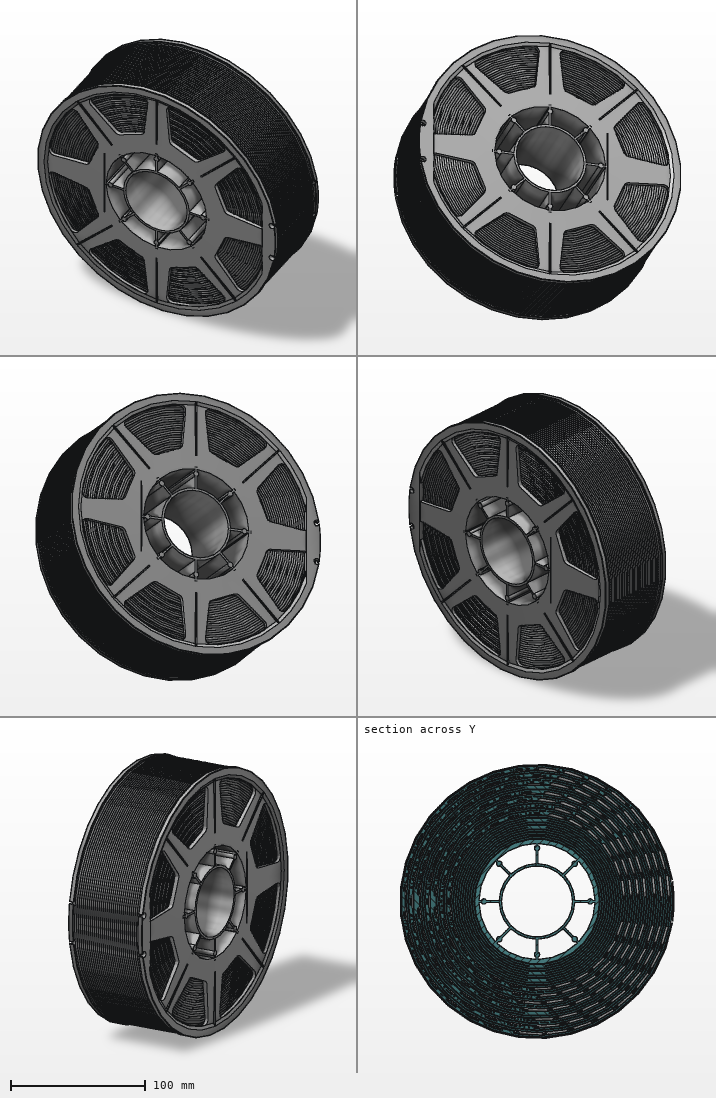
import cadquery as cq
import math

FLANGE_DIAMETER = 203.2
SPOOL_WIDTH = 64.5
FLANGE_THICKNESS = 3.9
RIM_EDGE_RADIUS = 0.5
HUB_DIAMETER = 92.7
HUB_BORE_RADIUS = 42.9
ARM_COUNT = 8
ARM_ANGLE = 360 / ARM_COUNT

FLANGE_RADIUS = FLANGE_DIAMETER / 2
HALF_WIDTH = SPOOL_WIDTH / 2
FLANGE_INNER_Y = HALF_WIDTH - FLANGE_THICKNESS

DISH_START_RADIUS = 44.5
DISH_FLOOR_RADIUS = 93.5
DISH_LIP_RADIUS = 96.0
DISH_DEPTH = 1.12
RIB_WIDTH = 1.0
RIB_START_RADIUS = 53.8
PLAIN_ARM_ANGLES = (0, 180)

WINDOW_INNER_DISTANCE = 58.3
WINDOW_INNER_HALF_WIDTH = 12.2
WINDOW_OUTER_RADIUS = 93.0
WINDOW_OUTER_HALF_WIDTH = 31.0
WINDOW_CORNER_RADIUS = 4.0

SEGMENT_X = 90.0
NOTCH_RADIUS = 2.2
NOTCH_X = 98.3
NOTCH_Z = 15.0

GROOVE_X = -44.7
GROOVE_LENGTH = 54.9
GROOVE_WIDTH = 0.5
GROOVE_DEPTH = 0.5

TUBE_OUTER_RADIUS = 28.0
TUBE_WALL = 1.8
WEB_THICKNESS = 1.6
BEAD_RADIUS = 2.0
BEAD_DISTANCE = 39.5

STRAND_DIAMETER = 1.75
TURN_COUNT = 32
LAYER_COUNT = 31
OUTER_TURN_DIAMETER = 199.7
WINDING_BORE_DIAMETER = 92.9


def cylinder(radius, y_start, y_end, x=0.0, z=0.0):
    """Cylinder along Y between two Y positions."""
    return cq.Workplane("XZ", origin=(x, y_start, z)).circle(radius).extrude(y_start - y_end)


def block(x_start, x_end, y_start, y_end, height):
    """Box centred on Z = 0."""
    size = (x_end - x_start, y_end - y_start, height)
    centre = ((x_start + x_end) / 2, (y_start + y_end) / 2, 0)
    return cq.Workplane("XY", origin=centre).box(*size)


def turn_about_axis(shape, angle):
    """Turn a shape about the spool axis."""
    return shape.rotate((0, 0, 0), (0, 1, 0), angle)


def make_dish():
    """Ring of air that leaves a gently conical face inside the raised rim."""
    outline = [
        (DISH_START_RADIUS, -HALF_WIDTH),
        (DISH_FLOOR_RADIUS, DISH_DEPTH - HALF_WIDTH),
        (DISH_LIP_RADIUS, -HALF_WIDTH),
    ]
    dish = cq.Workplane("XY").polyline(outline).close().revolve(360, (0, 0, 0), (0, 1, 0))
    rib = block(RIB_START_RADIUS, FLANGE_RADIUS, -HALF_WIDTH, -FLANGE_INNER_Y, RIB_WIDTH)
    for index in range(ARM_COUNT):
        angle = index * ARM_ANGLE
        if angle not in PLAIN_ARM_ANGLES:
            dish = dish.cut(turn_about_axis(rib, angle))
    return dish


def make_window():
    """Round-cornered opening centred on the +X direction."""
    corners = [
        (WINDOW_INNER_DISTANCE, -WINDOW_INNER_HALF_WIDTH),
        (DISH_FLOOR_RADIUS, -WINDOW_OUTER_HALF_WIDTH),
        (DISH_FLOOR_RADIUS, WINDOW_OUTER_HALF_WIDTH),
        (WINDOW_INNER_DISTANCE, WINDOW_INNER_HALF_WIDTH),
    ]
    outline = cq.Workplane("XZ", origin=(0, -HALF_WIDTH, 0)).polyline(corners).close()
    wedge = outline.extrude(-FLANGE_THICKNESS)
    window = wedge.intersect(cylinder(WINDOW_OUTER_RADIUS, -HALF_WIDTH, -FLANGE_INNER_Y))
    return window.edges("|Y").fillet(WINDOW_CORNER_RADIUS)


def make_flange():
    """Flange on the -Y side of the spool."""
    disc = cylinder(FLANGE_RADIUS, -HALF_WIDTH, -FLANGE_INNER_Y).edges().fillet(RIM_EDGE_RADIUS)
    segment = disc.intersect(
        block(SEGMENT_X, FLANGE_RADIUS, -HALF_WIDTH, -FLANGE_INNER_Y, FLANGE_DIAMETER)
    )
    flange = disc.cut(make_dish())
    window = make_window()
    for index in range(ARM_COUNT):
        flange = flange.cut(turn_about_axis(window, (index + 0.5) * ARM_ANGLE))
    flange = flange.union(segment)
    for z in (-NOTCH_Z, NOTCH_Z):
        flange = flange.cut(cylinder(NOTCH_RADIUS, -HALF_WIDTH, -FLANGE_INNER_Y, NOTCH_X, z))
    groove = block(
        GROOVE_X, GROOVE_X + GROOVE_WIDTH, -HALF_WIDTH, GROOVE_DEPTH - HALF_WIDTH, GROOVE_LENGTH
    )
    return flange.cut(groove)


def make_inner_tube():
    """Tube at the spool axis with its webs and beads, along the whole width."""
    tube = cylinder(TUBE_OUTER_RADIUS, -HALF_WIDTH, HALF_WIDTH)
    web_start = TUBE_OUTER_RADIUS - TUBE_WALL / 2
    web_end = (HUB_BORE_RADIUS + HUB_DIAMETER / 2) / 2
    web = block(web_start, web_end, -HALF_WIDTH, HALF_WIDTH, WEB_THICKNESS)
    web = web.union(cylinder(BEAD_RADIUS, -HALF_WIDTH, HALF_WIDTH, BEAD_DISTANCE))
    for index in range(ARM_COUNT):
        tube = tube.union(turn_about_axis(web, index * ARM_ANGLE))
    return tube.cut(cylinder(TUBE_OUTER_RADIUS - TUBE_WALL, -HALF_WIDTH, HALF_WIDTH))


def make_spool():
    """Hub, both flanges and the inner tube as one body."""
    flange = make_flange()
    spool = cylinder(HUB_DIAMETER / 2, -FLANGE_INNER_Y, FLANGE_INNER_Y)
    spool = spool.union(flange).union(flange.mirror("XZ"))
    spool = spool.cut(cylinder(HUB_BORE_RADIUS, -HALF_WIDTH, HALF_WIDTH))
    return spool.union(make_inner_tube())


def make_filament():
    """Wound ring whose rim and side faces are scalloped by the strands."""
    half_strand = STRAND_DIAMETER / 2
    diagonal = half_strand * math.sqrt(0.5)
    bore_radius = WINDING_BORE_DIAMETER / 2
    rim_radius = OUTER_TURN_DIAMETER / 2
    side_y = (TURN_COUNT - 1) * STRAND_DIAMETER / 2
    layer_radii = [rim_radius - layer * STRAND_DIAMETER for layer in range(1, LAYER_COUNT)]
    inner_turns_y = [turn * STRAND_DIAMETER - side_y for turn in range(1, TURN_COUNT - 1)]

    profile = cq.Workplane("XY").moveTo(bore_radius, -side_y)
    profile = profile.lineTo(layer_radii[-1] - half_strand, -side_y)
    for radius in reversed(layer_radii):
        profile = profile.threePointArc((radius, -side_y - half_strand), (radius + half_strand, -side_y))
    profile = profile.threePointArc(
        (rim_radius + diagonal, -side_y - diagonal), (rim_radius, -side_y + half_strand)
    )
    for y in inner_turns_y:
        profile = profile.threePointArc((rim_radius + half_strand, y), (rim_radius, y + half_strand))
    profile = profile.threePointArc(
        (rim_radius + diagonal, side_y + diagonal), (rim_radius - half_strand, side_y)
    )
    for radius in layer_radii:
        profile = profile.threePointArc((radius, side_y + half_strand), (radius - half_strand, side_y))
    profile = profile.lineTo(bore_radius, side_y).close()
    return profile.revolve(360, (0, 0, 0), (0, 1, 0))


spool = make_spool()
filament = make_filament()

result = cq.Compound.makeCompound([spool.val(), filament.val()])